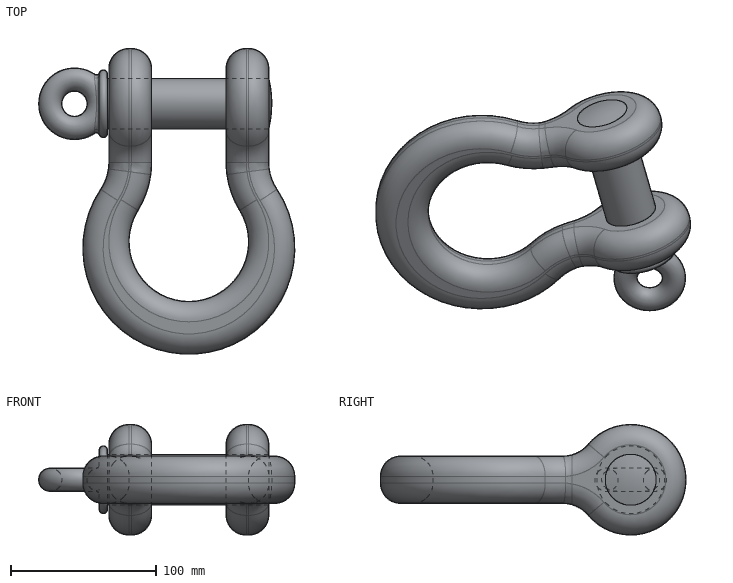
import cadquery as cq
import math


ear_radius = 38.1
ear_gap = 51.2
limb_width = 29.5
limb_height = 32.6
edge_round = 14.0
neck_radius = 23.0
crown_inner_radius = 41.1
crown_outer_radius = 73.0
bow_bottom_y = -172.43
shoulder_radius = 33.0
transition_steps = 3

ear_inner_x = ear_gap / 2
ear_outer_x = ear_inner_x + limb_width
half_height = limb_height / 2

crown_outer_y = bow_bottom_y + crown_outer_radius
shoulder_inner_radius = shoulder_radius + limb_width
shoulder_mid_radius = shoulder_radius + limb_width / 2
shoulder_x = ear_outer_x + shoulder_radius
outer_reach = crown_outer_radius + shoulder_radius
inner_reach = crown_inner_radius + shoulder_inner_radius
outer_end_angle = math.acos(shoulder_x / outer_reach)
inner_end_angle = math.acos(shoulder_x / inner_reach)
shoulder_y = crown_outer_y + outer_reach * math.sin(outer_end_angle)
crown_inner_y = shoulder_y - inner_reach * math.sin(inner_end_angle)
crown_inner_bottom_y = crown_inner_y - crown_inner_radius

neck_reach = ear_radius + neck_radius
neck_z = half_height + neck_radius
neck_angle = math.asin(neck_z / neck_reach)
neck_y = -neck_reach * math.cos(neck_angle)
transition_angle = math.asin((shoulder_y - neck_y) / shoulder_mid_radius)

pin_radius = 17.55
pin_dome_height = 2.1
collar_radius = 23.3
collar_thickness = 5.7
collar_gap = 0.9
eye_left_x = -103.38
eye_outer_radius = 24.65
eye_ring_radius = 16.65
eye_fillet = 2.2

eye_tube_radius = eye_outer_radius - eye_ring_radius
eye_x = eye_left_x + eye_outer_radius
collar_right_x = -ear_outer_x - collar_gap
collar_left_x = collar_right_x - collar_thickness


def shoulder_point(radius, angle):
    """Point on a bend of the +X limb, turned down from the level of the shoulder centre."""
    return (shoulder_x - radius * math.cos(angle), shoulder_y - radius * math.sin(angle))


def mirrored(point):
    """Same point on the limb at -X."""
    return (-point[0], point[1])


def neck_half_height(y):
    """Half of the limb height where the neck arc passes the given Y."""
    return neck_z - math.sqrt(neck_radius**2 - (y - neck_y) ** 2)


def make_ear():
    """Rounded ear disc of the +X limb with its neck, ending flat at the level of the shoulder centre."""
    end_z = neck_half_height(shoulder_y)
    disc_tangent = (-ear_radius * math.cos(neck_angle), ear_radius * math.sin(neck_angle))
    middle_y = (disc_tangent[0] + shoulder_y) / 2
    middle_z = neck_half_height(middle_y)
    return (
        cq.Workplane("YZ", origin=(ear_inner_x, 0, 0))
        .moveTo(shoulder_y, end_z)
        .threePointArc((middle_y, middle_z), disc_tangent)
        .threePointArc((ear_radius, 0), (disc_tangent[0], -disc_tangent[1]))
        .threePointArc((middle_y, -middle_z), (shoulder_y, -end_z))
        .close()
        .extrude(limb_width)
        .edges("%CIRCLE")
        .fillet(edge_round)
    )


def limb_section(angle):
    """Rounded rectangular outline of the limb in the radial plane of the shoulder at the given angle."""
    x, y = shoulder_point(shoulder_mid_radius, angle)
    plane = cq.Plane(
        origin=(x, y, 0),
        xDir=(math.cos(angle), math.sin(angle), 0),
        normal=(math.sin(angle), -math.cos(angle), 0),
    )
    outline = cq.Sketch().rect(limb_width, 2 * neck_half_height(y)).vertices().fillet(edge_round)
    face = outline.reset().faces().val()
    return face.moved(plane.location).outerWire()


def make_transition(ear):
    """Start of the limb bend, where the neck runs out to the constant limb height."""
    ear_end = ear.faces("<Y").wires().val()
    angles = [transition_angle * step / transition_steps for step in range(1, transition_steps + 1)]
    return cq.Workplane(cq.Solid.makeLoft([ear_end] + [limb_section(angle) for angle in angles]))


def make_crown():
    """Remaining limb bends and the crown, widest at the bottom, with all long edges rounded."""
    outer_start = shoulder_point(shoulder_radius, transition_angle)
    outer_middle = shoulder_point(shoulder_radius, (transition_angle + outer_end_angle) / 2)
    outer_end = shoulder_point(shoulder_radius, outer_end_angle)
    inner_start = shoulder_point(shoulder_inner_radius, transition_angle)
    inner_middle = shoulder_point(shoulder_inner_radius, (transition_angle + inner_end_angle) / 2)
    inner_end = shoulder_point(shoulder_inner_radius, inner_end_angle)
    return (
        cq.Workplane("XY")
        .moveTo(*outer_start)
        .threePointArc(outer_middle, outer_end)
        .threePointArc((0, bow_bottom_y), mirrored(outer_end))
        .threePointArc(mirrored(outer_middle), mirrored(outer_start))
        .lineTo(*mirrored(inner_start))
        .threePointArc(mirrored(inner_middle), mirrored(inner_end))
        .threePointArc((0, crown_inner_bottom_y), inner_end)
        .threePointArc(inner_middle, inner_start)
        .close()
        .extrude(half_height, both=True)
        .edges("%CIRCLE")
        .fillet(edge_round)
    )


def make_bow():
    """Crown with an ear on each limb, bored through for the pin."""
    ear = make_ear()
    limb_end = ear.union(make_transition(ear))
    bore = cq.Workplane("YZ").circle(pin_radius).extrude(shoulder_x, both=True)
    return make_crown().union(limb_end).union(limb_end.mirror("YZ")).cut(bore)


def make_shank():
    """Plain pin shank with a domed tip."""
    dome_radius = (pin_radius**2 + pin_dome_height**2) / (2 * pin_dome_height)
    rise = dome_radius - math.sqrt(dome_radius**2 - (pin_radius / 2) ** 2)
    tip_x = ear_outer_x + pin_dome_height
    return (
        cq.Workplane("XY")
        .moveTo(collar_right_x, 0)
        .lineTo(collar_right_x, pin_radius)
        .lineTo(ear_outer_x, pin_radius)
        .threePointArc((tip_x - rise, pin_radius / 2), (tip_x, 0))
        .close()
        .revolve(360, (0, 0), (1, 0))
    )


def make_head():
    """Fully rounded collar with a ring eye filleted onto its left face."""
    collar_round = collar_thickness / 2
    face_radius = collar_radius - collar_round
    collar = (
        cq.Workplane("XY")
        .moveTo(collar_left_x, 0)
        .lineTo(collar_left_x, face_radius)
        .threePointArc((collar_left_x + collar_round, collar_radius), (collar_right_x, face_radius))
        .lineTo(collar_right_x, 0)
        .close()
        .revolve(360, (0, 0), (1, 0))
    )
    ring = (
        cq.Workplane("XZ", origin=(eye_x - eye_ring_radius, 0, 0))
        .circle(eye_tube_radius)
        .revolve(360, (eye_ring_radius, 0), (eye_ring_radius, 1))
    )
    limit_size = 3 * eye_outer_radius
    eye_limit = cq.Workplane("XY", origin=(collar_left_x - limit_size / 2, 0, 0)).box(
        limit_size, limit_size, limit_size
    )
    eye = ring.intersect(eye_limit)
    head = collar.union(eye)
    return head.edges("%BSPLINE").fillet(eye_fillet)


def make_pin():
    """Screw pin: head and shank as one solid."""
    return make_head().union(make_shank())


bow = make_bow()
pin = make_pin()
result = cq.Compound.makeCompound([bow.val(), pin.val()])